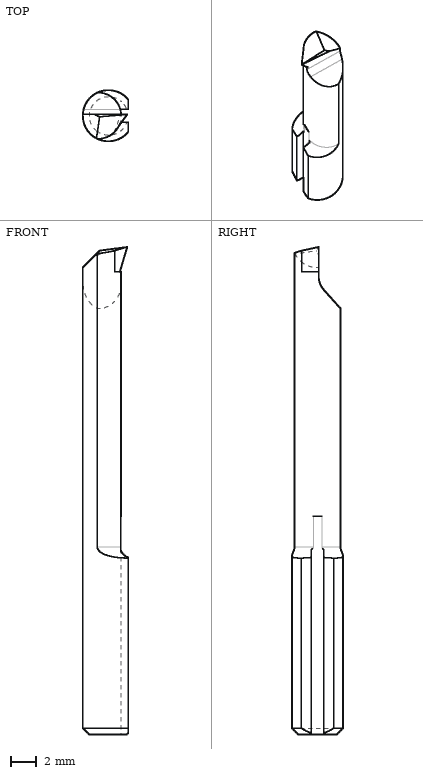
import cadquery as cq
import math

total_length = 38.0
shank_radius = 2.0
shank_flat_x = 1.55
base_chamfer = 0.5

neck_radius = 1.8
neck_right_x = 1.0
neck_axis_x = neck_right_x - neck_radius
neck_start_z = 14.65
shoulder_radius = 0.9

slot_width = 1.0
slot_floor_x = 0.97
slot_end_z = 17.0

face_y = 0.1
relief_radius = 1.6
relief_angle = math.radians(42)
relief_end_z = 33.2
relief_end_y = neck_radius

nose_x = 1.48
flank_x = 0.5
flank_y = -math.sqrt(neck_radius**2 - (flank_x - neck_axis_x) ** 2)
tip_bottom_z = 36.05
tip_bottom_x = 0.9

lead_slope = 0.12
clearance_slope = 0.13
back_slope_edge_z = 36.4

rake_slope = 0.17
rake_tilt = 0.65

margin = 3.0


def make_shank():
    shank = cq.Workplane("XY").circle(shank_radius).extrude(total_length)
    shank = shank.faces("<Z").chamfer(base_chamfer)
    flat = cq.Workplane("XY").box(margin, 2 * margin, total_length, centered=(False, True, False))
    return shank.cut(flat.translate((shank_flat_x, 0, 0)))


def make_neck_cutter():
    """Ring outside the neck cylinder, with a rounded shoulder at its lower end."""
    shoulder_z = neck_start_z - shoulder_radius
    bend = shoulder_radius * math.sqrt(0.5)
    outer = neck_radius + 2 * margin
    ring = (
        cq.Workplane("XZ")
        .moveTo(neck_radius, total_length + margin)
        .lineTo(neck_radius, neck_start_z)
        .threePointArc(
            (neck_radius + shoulder_radius - bend, neck_start_z - bend),
            (neck_radius + shoulder_radius, shoulder_z),
        )
        .lineTo(outer, shoulder_z)
        .lineTo(outer, total_length + margin)
        .close()
        .revolve(360, (0, 0, 0), (0, 1, 0))
    )
    return ring.translate((neck_axis_x, 0, 0))


def make_slot():
    slot = cq.Workplane("XY").box(margin, slot_width, slot_end_z, centered=(False, True, False))
    return slot.translate((slot_floor_x, 0, 0))


def make_tip_seat():
    """Clears the neck outside the flank, so that the flank can stand back from it."""
    height = total_length - tip_bottom_z
    seat = cq.Workplane("XY").box(margin, margin, height, centered=False)
    return seat.translate((flank_x, face_y - margin, tip_bottom_z))


def make_tip():
    """Wedge whose flank swings outward from the ledge below up to the nose."""
    inner_corner = (neck_axis_x, face_y)
    flank_corner = (flank_x, flank_y)
    return (
        cq.Workplane("XY")
        .workplane(offset=tip_bottom_z)
        .polyline([inner_corner, flank_corner, (tip_bottom_x, face_y)])
        .close()
        .workplane(offset=total_length - tip_bottom_z)
        .polyline([inner_corner, flank_corner, (nose_x, face_y)])
        .close()
        .loft(ruled=True)
    )


def make_top_cutter():
    """Block above the top plane, which falls from the nose toward -X and -Y."""
    plane = cq.Plane(
        origin=(nose_x, face_y, total_length),
        xDir=(1, 0, lead_slope),
        normal=(-lead_slope, -clearance_slope, 1),
    )
    return cq.Workplane(plane).rect(4 * margin, 4 * margin).extrude(margin)


def make_back_slope_cutter():
    rise = 2 * margin
    return (
        cq.Workplane("XZ")
        .polyline([
            (-shank_radius, back_slope_edge_z),
            (-shank_radius + rise, back_slope_edge_z + rise),
            (-shank_radius, back_slope_edge_z + rise),
        ])
        .close()
        .extrude(margin, both=True)
    )


def make_relief_cutter():
    """Removes the +Y half of the head: flat face, rounded root and sloping run-out."""
    root_y = face_y + relief_radius * (1 - math.cos(relief_angle))
    root_z = relief_end_z + (relief_end_y - root_y) / math.tan(relief_angle)
    face_end_z = root_z + relief_radius * math.sin(relief_angle)
    half = relief_angle / 2
    middle = (
        face_y + relief_radius * (1 - math.cos(half)),
        face_end_z - relief_radius * math.sin(half),
    )
    outer_y = relief_end_y + margin
    outer_z = relief_end_z - margin / math.tan(relief_angle)
    return (
        cq.Workplane("YZ")
        .moveTo(face_y, total_length + margin)
        .lineTo(face_y, face_end_z)
        .threePointArc(middle, (root_y, root_z))
        .lineTo(outer_y, outer_z)
        .lineTo(outer_y, total_length + margin)
        .close()
        .extrude(margin, both=True)
    )


def make_rake_cutter():
    """Block on the +Y side of the rake plane, which passes through the nose point."""
    plane = cq.Plane(
        origin=(nose_x, face_y, total_length),
        xDir=(1, rake_slope, 0),
        normal=(-rake_slope, 1, rake_tilt),
    )
    return cq.Workplane(plane).rect(4 * margin, 4 * margin).extrude(margin)


body = make_shank().cut(make_neck_cutter()).cut(make_slot())
body = body.cut(make_tip_seat()).union(make_tip())
for cutter in (make_relief_cutter(), make_back_slope_cutter(), make_top_cutter(), make_rake_cutter()):
    body = body.cut(cutter)

result = body